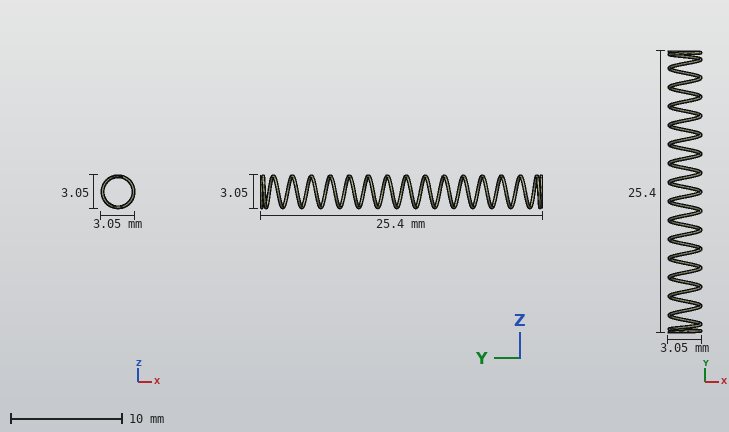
import math

import cadquery as cq

OUTER_DIAMETER = 3.05
FREE_LENGTH = 25.4
WIRE_DIAMETER = 0.254
COIL_RADIUS = (OUTER_DIAMETER - WIRE_DIAMETER) / 2

TOTAL_TURNS = 17.4
END_TURN = TOTAL_TURNS / 2
CLOSED_TURNS = 1.0
RAMP_TURNS = 1.0
RAMP_END = END_TURN - CLOSED_TURNS
RAMP_START = RAMP_END - RAMP_TURNS
COIL_GAP = 0.001
CLOSED_PITCH = WIRE_DIAMETER + COIL_GAP
EQUIVALENT_CLOSED_TURNS = CLOSED_TURNS + RAMP_TURNS / 2
EQUIVALENT_OPEN_TURNS = END_TURN - EQUIVALENT_CLOSED_TURNS
OPEN_PITCH = (FREE_LENGTH / 2 - CLOSED_PITCH * EQUIVALENT_CLOSED_TURNS) / EQUIVALENT_OPEN_TURNS

PIECES = 72
INTERVALS_PER_PIECE = 8
TURN_STEP = 1e-4


def axial_travel(turn):
    """Distance along the axis from mid-length; the pitch falls linearly over the ramp."""
    distance = abs(turn)
    open_part = min(distance, RAMP_START)
    ramp_part = min(max(distance - RAMP_START, 0), RAMP_TURNS)
    closed_part = max(distance - RAMP_END, 0)
    pitch_drop = (OPEN_PITCH - CLOSED_PITCH) / RAMP_TURNS
    travel = open_part * OPEN_PITCH
    travel += ramp_part * OPEN_PITCH - pitch_drop * ramp_part**2 / 2
    travel += closed_part * CLOSED_PITCH
    return math.copysign(travel, turn)


def centreline_point(turn):
    """Point of the wire centreline; turn 0 lies on +X at mid-length and turns grow towards -Y."""
    angle = 2 * math.pi * turn
    return (COIL_RADIUS * math.cos(angle), -axial_travel(turn), COIL_RADIUS * math.sin(angle))


def centreline_velocity(turn):
    """Change of the centreline point per turn, from a small central difference."""
    ahead = cq.Vector(*centreline_point(turn + TURN_STEP))
    behind = cq.Vector(*centreline_point(turn - TURN_STEP))
    return (ahead - behind) / (2 * TURN_STEP)


def centreline_piece(start, stop):
    """Smooth curve through evenly spaced points between two turn positions."""
    step = (stop - start) / INTERVALS_PER_PIECE
    turns = [start + i * step for i in range(INTERVALS_PER_PIECE + 1)]
    return cq.Edge.makeSpline(
        [cq.Vector(*centreline_point(turn)) for turn in turns],
        tangents=[centreline_velocity(start), centreline_velocity(stop)],
        parameters=turns,
        scale=False,
    )


def wound_wire():
    """Round wire swept along the whole centreline, one piece after the other."""
    piece_turns = TOTAL_TURNS / PIECES
    joints = [-END_TURN + i * piece_turns for i in range(PIECES + 1)]
    pieces = [centreline_piece(start, stop) for start, stop in zip(joints, joints[1:])]
    centreline = cq.Wire.assembleEdges(pieces)
    start_plane = cq.Plane(
        origin=centreline_point(-END_TURN), normal=centreline_velocity(-END_TURN).toTuple()
    )
    return cq.Workplane(start_plane).circle(WIRE_DIAMETER / 2).sweep(centreline, isFrenet=True)


def ground_envelope():
    """Block whose two Y faces are the ground ends of the spring."""
    clear_width = 2 * OUTER_DIAMETER
    return cq.Workplane("XY").box(clear_width, FREE_LENGTH, clear_width)


result = wound_wire().intersect(ground_envelope())